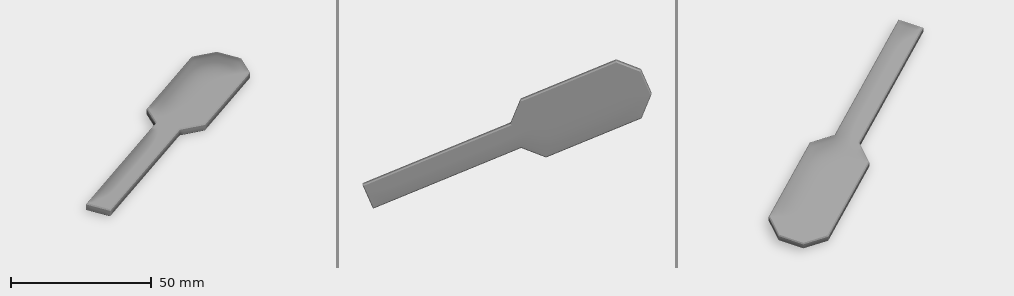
import cadquery as cq

total_length = 107.7
head_width = 23.0
thickness = 3.0

handle_width = 9.6
head_length = 50.4
corner_length = (head_width - handle_width) / 2
edge_chamfer = 0.4

head_end = total_length / 2
handle_end = -total_length / 2
neck = head_end - head_length
upper_shoulder = head_end - corner_length
lower_shoulder = neck + corner_length

half_outline = [
    (handle_width / 2, handle_end),
    (handle_width / 2, neck),
    (head_width / 2, lower_shoulder),
    (head_width / 2, upper_shoulder),
    (handle_width / 2, head_end),
]
mirrored_half = [(-x, y) for x, y in reversed(half_outline)]

paddle = (
    cq.Workplane("XY")
    .polyline(half_outline + mirrored_half)
    .close()
    .extrude(thickness / 2, both=True)
)

result = paddle.faces("|Z").edges().chamfer(edge_chamfer)